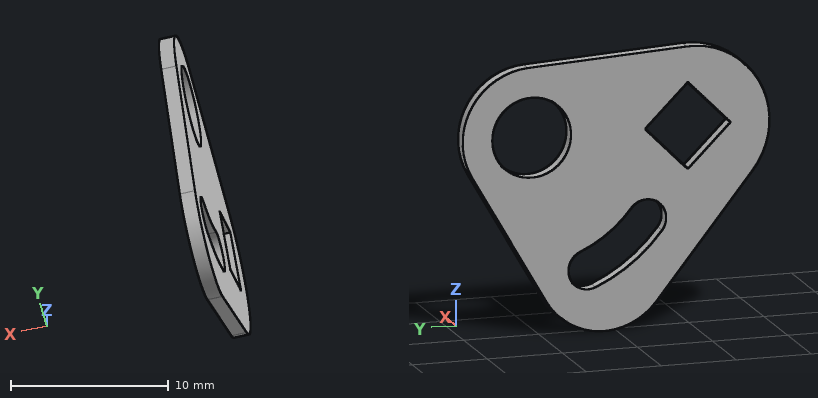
import cadquery as cq
import math

thickness = 1.0

pivot_corner = (0.0, 0.0, 4.6)
lower_corner = (-4.82, -8.6, 4.45)
square_corner = (-10.6, -0.05, 5.23)

pivot_hole_diameter = 5.23
square_side = 4.0
square_center_y = -10.4
slot_path_radius = 9.68
slot_width = 2.6
slot_start_angle = 180 + 37.8
slot_end_angle = 180 + 67.2


def polar(center, radius, angle):
    """Point at a radius and an angle (degrees) around a center."""
    direction = math.radians(angle)
    return (center[0] + radius * math.cos(direction), center[1] + radius * math.sin(direction))


def tangent_normal(first, second):
    """Outward normal angle of the edge touching two corners taken counterclockwise."""
    dy = second[0] - first[0]
    dz = second[1] - first[1]
    tilt = math.acos((first[2] - second[2]) / math.hypot(dy, dz))
    return math.degrees(math.atan2(dz, dy) - tilt)


def outline(corners):
    """Plate face: corner arcs joined by tangent straight edges."""
    count = len(corners)
    normals = [tangent_normal(corners[i], corners[(i + 1) % count]) for i in range(count)]
    sketch = cq.Workplane("YZ").moveTo(*polar(corners[-1], corners[-1][2], normals[-1]))
    for i, corner in enumerate(corners):
        start_angle = normals[i - 1]
        sweep = (normals[i] - start_angle) % 360
        radius = corner[2]
        sketch = sketch.lineTo(*polar(corner, radius, start_angle))
        sketch = sketch.threePointArc(
            polar(corner, radius, start_angle + sweep / 2),
            polar(corner, radius, normals[i]),
        )
    return sketch.close()


def curved_slot():
    """Round-ended slot following an arc about the pivot hole."""
    pivot = pivot_corner[:2]
    end_radius = slot_width / 2
    inner_radius = slot_path_radius - end_radius
    outer_radius = slot_path_radius + end_radius
    middle_angle = (slot_start_angle + slot_end_angle) / 2
    start_center = polar(pivot, slot_path_radius, slot_start_angle)
    end_center = polar(pivot, slot_path_radius, slot_end_angle)
    return (
        cq.Workplane("YZ")
        .moveTo(*polar(pivot, inner_radius, slot_start_angle))
        .threePointArc(polar(pivot, inner_radius, middle_angle), polar(pivot, inner_radius, slot_end_angle))
        .threePointArc(
            polar(end_center, end_radius, slot_end_angle + 90),
            polar(pivot, outer_radius, slot_end_angle),
        )
        .threePointArc(polar(pivot, outer_radius, middle_angle), polar(pivot, outer_radius, slot_start_angle))
        .threePointArc(
            polar(start_center, end_radius, slot_start_angle - 90),
            polar(pivot, inner_radius, slot_start_angle),
        )
        .close()
        .extrude(thickness)
    )


plate = outline([pivot_corner, square_corner, lower_corner]).extrude(thickness)
pivot_hole = cq.Workplane("YZ").circle(pivot_hole_diameter / 2).extrude(thickness)

square_hole = (
    cq.Workplane("YZ")
    .center(square_center_y, 0)
    .transformed(rotate=(0, 0, 45))
    .rect(square_side, square_side)
    .extrude(thickness)
)

result = plate.cut(pivot_hole).cut(square_hole).cut(curved_slot())